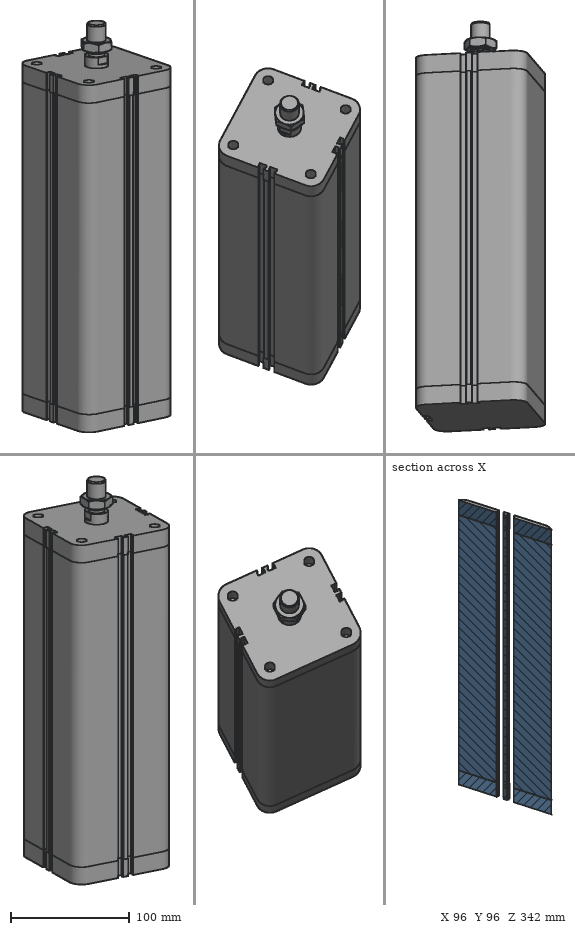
import cadquery as cq
import math

total_height = 342.0
side = 96.0
corner_radius = 12.0

body_height = 304.7
cap_height = 15.7
barrel_height = body_height - 2 * cap_height

hole_diameter = 8.5
hole_spacing = 71.8

slot_depth = 4.8
slot_lip_depth = 1.7
slot_mouth_width = 14.7
slot_inner_width = 16.0
rail_head_width = 5.0
rail_neck_width = 3.0
barrel_rail_chamfer = 0.7
slot_face_angles = (-90, 0, 90)

rod_diameter = 20.0
rod_flat_width = 17.0
flat_bottom_z = 307.8
shoulder_z = 314.0
neck_diameter = 14.5
thread_diameter = 16.0
thread_bottom_z = 316.5
thread_chamfer_depth = (thread_diameter - neck_diameter) / 2
thread_chamfer_length = 1.5

nut_width = 24.0
nut_bottom_z = 319.0
nut_height = 8.0
nut_chamfer_length = 1.0


def slot_half(side_sign, height, edge_chamfer):
    """One half of the slot on the -Y face: the channel on one side of the rail."""
    face_y = -side / 2
    lip_y = face_y + slot_lip_depth
    floor_y = face_y + slot_depth
    mouth_x = slot_mouth_width / 2
    inner_x = slot_inner_width / 2
    neck_x = rail_neck_width / 2
    head_x = rail_head_width / 2

    outline = [
        (mouth_x, face_y),
        (mouth_x, lip_y),
        (inner_x, lip_y),
        (inner_x, floor_y),
        (neck_x, floor_y),
        (neck_x, lip_y),
        (head_x, lip_y),
    ]
    if edge_chamfer:
        outline += [(head_x, face_y + edge_chamfer), (head_x - edge_chamfer, face_y)]
    else:
        outline += [(head_x, face_y)]
    return cq.Workplane("XY").polyline([(side_sign * x, y) for x, y in outline]).close().extrude(height)


def slotted_block(bottom_z, height, edge_chamfer=0):
    """Rounded square block with slots along the -X, -Y and +X faces."""
    block = cq.Workplane("XY").rect(side, side).extrude(height).edges("|Z").fillet(corner_radius)
    for side_sign in (-1, 1):
        channel = slot_half(side_sign, height, edge_chamfer)
        for angle in slot_face_angles:
            block = block.cut(channel.rotate((0, 0, 0), (0, 0, 1), angle))
    return block.translate((0, 0, bottom_z))


def make_rear_cap():
    return slotted_block(0, cap_height)


def make_barrel():
    return slotted_block(cap_height, barrel_height, barrel_rail_chamfer)


def make_front_cap():
    """Front cap with four mounting holes through it, closed below by the barrel."""
    cap = slotted_block(body_height - cap_height, cap_height)
    return (
        cap.faces(">Z")
        .workplane(origin=(0, 0, body_height))
        .rect(hole_spacing, hole_spacing, forConstruction=True)
        .vertices()
        .hole(hole_diameter)
    )


def cylinder(diameter, bottom_z, top_z):
    return cq.Workplane("XY", origin=(0, 0, bottom_z)).circle(diameter / 2).extrude(top_z - bottom_z)


def make_rod():
    """Rod standing on the front cap: two wrench flats, a neck and a chamfered thread end."""
    base = cylinder(rod_diameter, body_height, shoulder_z)
    flat_zone = (
        cq.Workplane("XY", origin=(0, 0, flat_bottom_z))
        .rect(rod_diameter, rod_diameter)
        .rect(rod_flat_width, rod_diameter)
        .extrude(shoulder_z - flat_bottom_z)
    )
    neck = cylinder(neck_diameter, shoulder_z, thread_bottom_z)
    thread = cylinder(thread_diameter, thread_bottom_z, total_height)
    thread = thread.faces("<Z or >Z").edges().chamfer(thread_chamfer_length, thread_chamfer_depth)
    return base.cut(flat_zone).union(neck).union(thread)


def make_nut():
    """Hexagon nut with flats on +X and -X, its corners turned down at both ends."""
    corner_diameter = nut_width / math.cos(math.pi / 6)
    nut = (
        cq.Workplane("XY", origin=(0, 0, nut_bottom_z))
        .polygon(6, corner_diameter)
        .extrude(nut_height)
        .rotate((0, 0, 0), (0, 0, 1), 90)
    )
    turned = cylinder(corner_diameter, nut_bottom_z, nut_bottom_z + nut_height)
    turned = turned.faces("<Z or >Z").edges().chamfer(nut_chamfer_length, (corner_diameter - nut_width) / 2)
    bore = cylinder(thread_diameter, nut_bottom_z, nut_bottom_z + nut_height)
    return nut.intersect(turned).cut(bore)


rear_cap = make_rear_cap()
barrel = make_barrel()
front_cap = make_front_cap()
rod = make_rod()
nut = make_nut()

result = cq.Compound.makeCompound(
    [rear_cap.val(), barrel.val(), front_cap.val(), rod.val(), nut.val()]
)